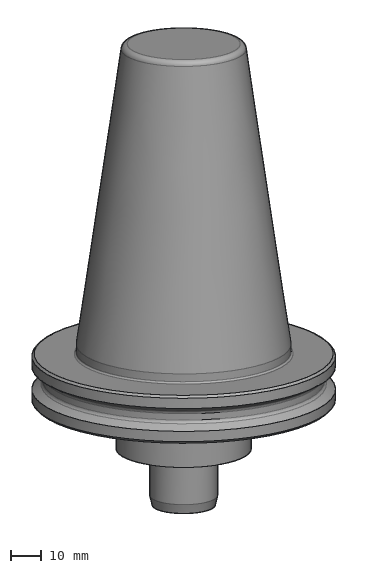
import cadquery as cq
import math

total_height = 155.6
spigot_bottom = 19.0
flange_bottom = 34.9
flange_height = 16.2
neck_height = 3.3

pin_radius = 11.0
spigot_radius = 22.0
flange_radius = 98.5 / 2
groove_radius = 91.3 / 2
gauge_radius = 34.9

taper_slope = 7 / 24 / 2

groove_floor_width = 3.6
groove_wall_angle = math.radians(60)
groove_root_fillet = 1.2

taper_end_fillet = 2.0
pin_chamfer_length = 3.3
pin_chamfer_depth = 0.8
rim_chamfer = 0.8
neck_root_fillet = 0.6

flange_top = flange_bottom + flange_height
gauge_height = flange_top + neck_height
taper_length = total_height - gauge_height
taper_end_radius = gauge_radius - taper_length * taper_slope


def cylinder(radius, bottom, height):
    return cq.Workplane("XY").workplane(offset=bottom).circle(radius).extrude(height)


def revolve_profile(points):
    """Turn a closed (radius, height) outline around the Z axis."""
    return cq.Workplane("XZ").polyline(points).close().revolve(360, (0, 0), (0, 1))


def make_pin():
    return revolve_profile([
        (0, 0),
        (pin_radius - pin_chamfer_depth, 0),
        (pin_radius, pin_chamfer_length),
        (pin_radius, spigot_bottom),
        (0, spigot_bottom),
    ])


def make_flange():
    blank = cylinder(flange_radius, flange_bottom, flange_height).edges().chamfer(rim_chamfer)
    groove_depth = flange_radius - groove_radius
    half_floor = groove_floor_width / 2
    half_mouth = half_floor + groove_depth / math.tan(groove_wall_angle)
    center = flange_bottom + flange_height / 2
    cutter_radius = flange_radius + groove_depth
    groove = revolve_profile([
        (groove_radius, center - half_floor),
        (flange_radius, center - half_mouth),
        (cutter_radius, center - half_mouth),
        (cutter_radius, center + half_mouth),
        (flange_radius, center + half_mouth),
        (groove_radius, center + half_floor),
    ])
    root_edges = cq.selectors.RadiusNthSelector(0)
    return blank.cut(groove.edges(root_edges).fillet(groove_root_fillet))


def make_taper():
    taper = revolve_profile([
        (0, flange_top),
        (gauge_radius, flange_top),
        (gauge_radius, gauge_height),
        (taper_end_radius, total_height),
        (0, total_height),
    ])
    return taper.faces(">Z").edges().fillet(taper_end_fillet)


spigot = cylinder(spigot_radius, spigot_bottom, flange_bottom - spigot_bottom)
body = make_pin().union(spigot).union(make_flange()).union(make_taper())

neck_root = body.faces("+Z").faces("<Z").edges(cq.selectors.RadiusNthSelector(0))
result = neck_root.fillet(neck_root_fillet)